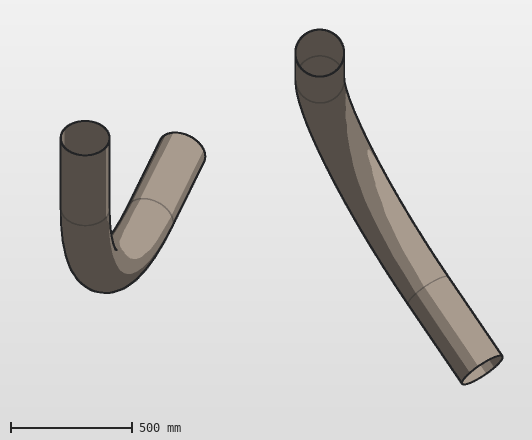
import cadquery as cq

OUTER_DIAMETER = 203.2
INNER_DIAMETER = 198.98
BEND_RADIUS = 4 * OUTER_DIAMETER
LEG_LENGTH = 2 * OUTER_DIAMETER
BEND_ANGLE = 90


def ring(plane, origin):
    """Annular pipe section on the given plane."""
    return (
        cq.Workplane(plane, origin=origin)
        .circle(OUTER_DIAMETER / 2)
        .circle(INNER_DIAMETER / 2)
    )


def vertical_leg():
    """Straight pipe rising along +Z from the upper end of the bend."""
    return ring("XY", (0, 0, BEND_RADIUS)).extrude(LEG_LENGTH)


def bend():
    """Quarter-torus pipe turning from the vertical leg down into +Y."""
    axis_start = (0, BEND_RADIUS, 0)
    axis_end = (1, BEND_RADIUS, 0)
    return ring("XY", (0, 0, BEND_RADIUS)).revolve(BEND_ANGLE, axis_start, axis_end)


def horizontal_leg():
    """Straight pipe running along +Y from the lower end of the bend."""
    return ring("XZ", (0, BEND_RADIUS, 0)).extrude(-LEG_LENGTH)


result = vertical_leg().union(bend()).union(horizontal_leg())